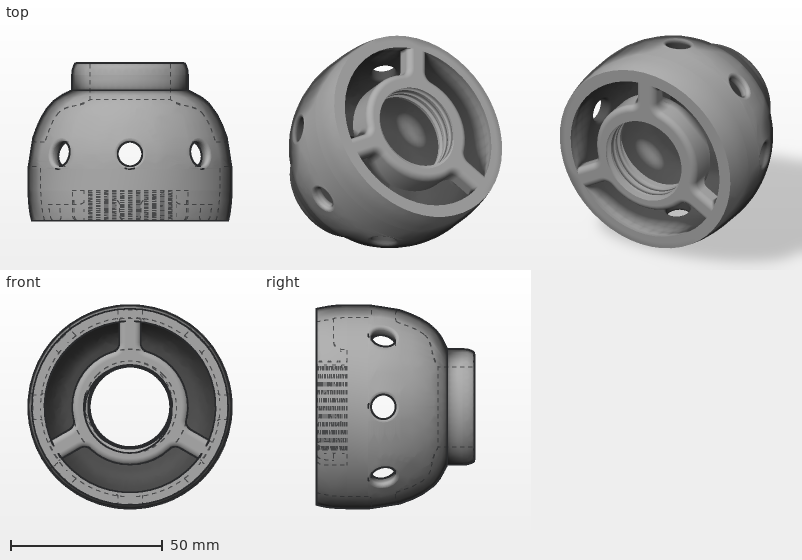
import cadquery as cq
import math


length = 52.0
wall = 4.0
body_radius = 33.5
rim_radius = 32.3
flare_end_y = 10.0
dome_start_y = 17.0
dome_radius = 34.0
shoulder_angle = math.radians(41.8)
dome_end_y = 43.0
dome_end_slope = (-2.0, 1.0)

neck_radius = 19.1
neck_bore_radius = 13.2
neck_round_y = 48.0
neck_end_radius = 17.2

hub_depth = 10.0
hub_radius = 19.0
arm_count = 3
arm_width = 7.0
arm_depth = 5.5
arm_reach = rim_radius - wall / 3
arm_blend_radius = 3.0
spider_edge_radius = 2.0
arm_underside_radius = 3.0

thread_minor_radius = 13.8
thread_major_radius = 15.2
thread_pitch = 3.0
groove_mouth = 2.2
groove_root = 0.6
thread_phase = 238.0

vent_count = 8
vent_radius = 4.0
vent_y = 22.0
vent_edge_radius = 0.95


def turned(profile):
    """Revolve a (radius, axial) profile drawn in XY about the Y axis, with its seam between vents."""
    half_vent_step = 180 / vent_count
    solid = profile.close().revolve(360, (0, 0, 0), (0, 1, 0))
    return solid.rotate((0, 0, 0), (0, 1, 0), half_vent_step)


def body_profile(inset):
    """Half profile from the axis at the rim around to the neck bore, moved inward by inset."""
    belt_r = body_radius - inset

    flare_drop = body_radius - rim_radius
    flare_r = (flare_drop**2 + flare_end_y**2) / (2 * flare_drop) - inset
    flare_center_r = belt_r - flare_r
    rim_r = flare_center_r + math.sqrt(flare_r**2 - flare_end_y**2)
    flare_mid_y = flare_end_y / 2
    flare_mid_r = flare_center_r + math.sqrt(flare_r**2 - flare_mid_y**2)

    dome_r = dome_radius - inset
    dome_center_r = body_radius - dome_radius

    def on_dome(angle):
        return (dome_center_r + dome_r * math.cos(angle), dome_start_y + dome_r * math.sin(angle))

    dome_end = (neck_radius - inset, dome_end_y - inset)
    bore_entry_y = dome_end[1] + (dome_end[0] - neck_bore_radius) * dome_end_slope[1] / -dome_end_slope[0]
    dome_points = [on_dome(shoulder_angle / 2), on_dome(shoulder_angle), dome_end]

    return (
        cq.Workplane("XY")
        .lineTo(rim_r, 0)
        .threePointArc((flare_mid_r, flare_mid_y), (belt_r, flare_end_y))
        .lineTo(belt_r, dome_start_y)
        .spline(dome_points, tangents=[(0, 1), dome_end_slope], includeCurrent=True)
        .lineTo(neck_bore_radius, bore_entry_y)
        .lineTo(0, bore_entry_y)
    )


def revolved_body(inset):
    return turned(body_profile(inset))


def make_neck():
    """Solid neck whose end is rounded by a quarter ellipse."""
    round_depth = neck_radius - neck_end_radius
    round_length = length - neck_round_y
    diagonal = math.sqrt(0.5)
    round_mid = (neck_end_radius + round_depth * diagonal, neck_round_y + round_length * diagonal)
    profile = (
        cq.Workplane("XY")
        .moveTo(0, dome_start_y)
        .lineTo(neck_radius, dome_start_y)
        .lineTo(neck_radius, neck_round_y)
        .spline([round_mid, (neck_end_radius, length)], tangents=[(0, 1), (-1, 0)], includeCurrent=True)
        .lineTo(0, length)
    )
    return turned(profile)


def axial_cylinder(radius, start_y, end_y):
    return cq.Workplane("XZ", origin=(0, start_y, 0)).circle(radius).extrude(start_y - end_y)


def is_vent_edge(edge):
    """True for an edge whose whole length stays within a vent's reach along Y."""
    box = edge.BoundingBox()
    full_bore = 2 * vent_radius - 0.1
    return box.ymin > vent_y - vent_radius - 0.1 and full_bore < box.ylen < 2 * vent_radius + 0.1


def cut_vents(shell):
    """Cut the ring of radial vent holes and round both of their edges."""
    for index in range(vent_count):
        vent = (
            cq.Workplane("XY", origin=(0, vent_y, 0))
            .circle(vent_radius)
            .extrude(2 * body_radius)
            .rotate((0, 0, 0), (0, 1, 0), index * 360 / vent_count)
        )
        shell = shell.cut(vent)
    return shell.edges().filter(is_vent_edge).fillet(vent_edge_radius)


def make_shell():
    shell = revolved_body(0).union(make_neck())
    shell = shell.cut(revolved_body(wall))
    shell = shell.cut(axial_cylinder(neck_bore_radius, dome_start_y, length))
    return cut_vents(shell)


def make_threaded_core():
    """Minor-diameter core joined to a helical trapezoid; both overrun the hub's faces."""
    overrun = thread_pitch
    helix = cq.Wire.makeHelix(thread_pitch, hub_depth + 2 * overrun, thread_minor_radius)
    mouth_r = thread_minor_radius - 0.2
    groove = (
        cq.Workplane("XZ")
        .polyline([
            (mouth_r, -groove_mouth / 2),
            (thread_major_radius, -groove_root / 2),
            (thread_major_radius, groove_root / 2),
            (mouth_r, groove_mouth / 2),
        ])
        .close()
        .sweep(cq.Workplane(obj=helix), isFrenet=True)
    )
    groove = (
        groove.translate((0, 0, -overrun))
        .rotate((0, 0, 0), (1, 0, 0), -90)
        .rotate((0, 0, 0), (0, 1, 0), -thread_phase)
    )
    core = axial_cylinder(thread_minor_radius, -2 * overrun, hub_depth + 2 * overrun)
    return core.union(groove)


def is_arm_root(edge):
    """True for an edge where an arm's flank meets the hub's cylinder."""
    center = edge.Center()
    on_hub = abs(math.hypot(center.x, center.z) - hub_radius) < 0.01
    return on_hub and edge.geomType() == "LINE" and abs(center.x) > 0.01


def make_arm_relief():
    """Ring that trims the arms to their depth and leaves a concave blend up to the hub."""
    center_r = hub_radius + arm_underside_radius
    center_y = arm_depth + arm_underside_radius
    blend_reach = arm_underside_radius * math.sqrt(0.5)
    profile = (
        cq.Workplane("XY")
        .moveTo(hub_radius, hub_depth)
        .lineTo(hub_radius, center_y)
        .threePointArc((center_r - blend_reach, center_y - blend_reach), (center_r, arm_depth))
        .lineTo(body_radius, arm_depth)
        .lineTo(body_radius, hub_depth)
    )
    return turned(profile)


def make_spider():
    """Hub and arms with blended corners, rounded on the front face, then bored and threaded."""
    spider = axial_cylinder(hub_radius, 0, hub_depth)
    for index in range(arm_count):
        arm = (
            cq.Workplane("XY")
            .box(arm_width, hub_depth, arm_reach, centered=(True, False, False))
            .rotate((0, 0, 0), (0, 1, 0), index * 360 / arm_count)
        )
        spider = spider.union(arm)
    corners = spider.edges("|Y").filter(is_arm_root)
    spider = corners.fillet(arm_blend_radius)
    spider = spider.faces("<Y").edges().fillet(spider_edge_radius)
    spider = spider.cut(make_arm_relief())
    return spider.cut(make_threaded_core())


result = make_shell().union(make_spider())